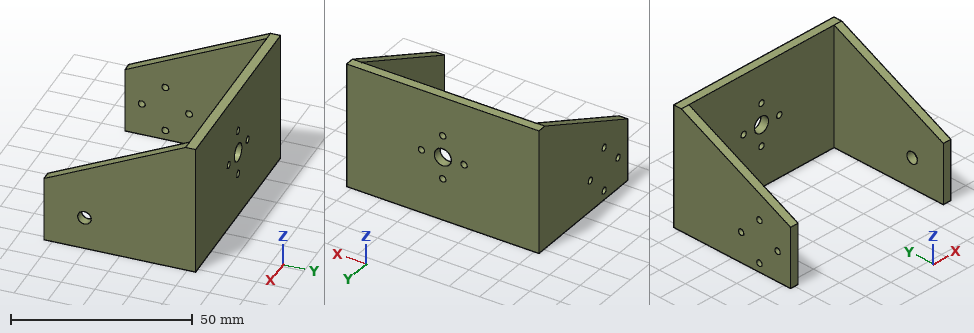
import cadquery as cq

width = 63.2
depth = 45.0
height = 40.0
wall = 3.0
front_height = height / 2

screw_diameter = 2.0
screw_offset = 7.0
shaft_diameter = 5.5
pivot_diameter = 4.0

back_hole_height = 20.5
pivot_setback = 12.0
pivot_height = 10.0


def screw_positions(centre_across, centre_up):
    """Four places in a cross around a centre."""
    return [
        (centre_across + across * screw_offset, centre_up + up * screw_offset)
        for across, up in ((1, 0), (0, 1), (-1, 0), (0, -1))
    ]


def side_wall(left):
    """Side wall with a top edge that slopes down to the front."""
    return (
        cq.Workplane("YZ", origin=(left, 0, 0))
        .moveTo(0, 0)
        .lineTo(depth, 0)
        .lineTo(depth, height)
        .lineTo(depth - wall, height)
        .lineTo(0, front_height)
        .close()
        .extrude(wall)
    )


def side_holes(left, points, diameter):
    """Cutters that pass through a side wall along X."""
    return (
        cq.Workplane("YZ", origin=(left, 0, 0))
        .pushPoints(points)
        .circle(diameter / 2)
        .extrude(wall)
    )


def back_holes(points, diameter):
    """Cutters that pass through the back wall along Y."""
    return (
        cq.Workplane("XZ", origin=(0, depth, 0))
        .pushPoints(points)
        .circle(diameter / 2)
        .extrude(wall)
    )


right_wall_left = width - wall
back_wall = cq.Workplane("XY").box(width, wall, height, centered=False).translate((0, depth - wall, 0))
bracket = back_wall.union(side_wall(0)).union(side_wall(right_wall_left))

back_centre = (width / 2, back_hole_height)
bracket = bracket.cut(back_holes([back_centre], shaft_diameter))
bracket = bracket.cut(back_holes(screw_positions(*back_centre), screw_diameter))

pivot_centre = (pivot_setback, pivot_height)
bracket = bracket.cut(side_holes(0, screw_positions(*pivot_centre), screw_diameter))
bracket = bracket.cut(side_holes(right_wall_left, [pivot_centre], pivot_diameter))

result = bracket